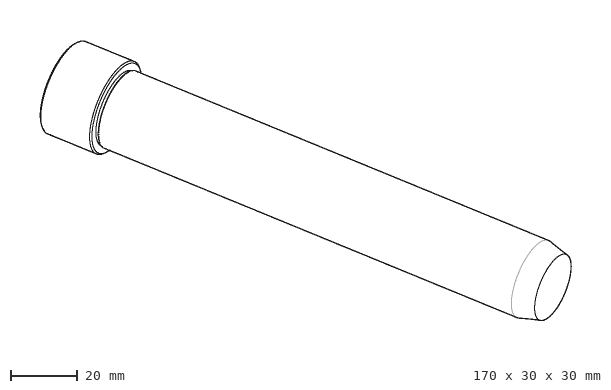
import cadquery as cq

length = 170.0
head_diameter = 30.0
shank_diameter = 25.0
head_length = 18.0

head_chamfer = 0.5
neck_length = 1.0
neck_depth = 0.3
lead_length = 7.0
tip_diameter = 21.2

head_radius = head_diameter / 2
shank_radius = shank_diameter / 2
neck_radius = shank_radius - neck_depth
tip_radius = tip_diameter / 2
head_end = -length / 2
shoulder = head_end + head_length
tip_end = length / 2

profile = (
    cq.Workplane("XY")
    .moveTo(head_end, 0)
    .lineTo(head_end, head_radius - head_chamfer)
    .lineTo(head_end + head_chamfer, head_radius)
    .lineTo(shoulder - head_chamfer, head_radius)
    .lineTo(shoulder, head_radius - head_chamfer)
    .lineTo(shoulder, neck_radius)
    .lineTo(shoulder + neck_length, neck_radius)
    .lineTo(shoulder + neck_length, shank_radius)
    .lineTo(tip_end - lead_length, shank_radius)
    .lineTo(tip_end, tip_radius)
    .lineTo(tip_end, 0)
    .close()
)

result = profile.revolve(360, (0, 0, 0), (1, 0, 0))